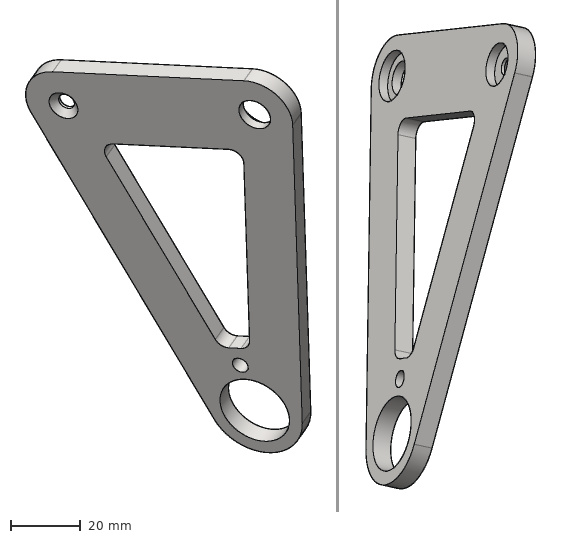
import cadquery as cq
import math

thickness = 6.0
pivot_radius = 15.0
ear_radius = 12.0
ear_offset = 60.5
upper_ear_height = 111.0
left_ear_height = 93.0

pivot_bore = 22.0
upper_hole = 10.0
screw_hole = 5.0
countersink_diameter = 9.1
countersink_angle = 90
left_counterbore = 12.7
upper_counterbore = 15.0
counterbore_depth = 2.9
small_hole_x = -4.5
small_hole_z = 15.3

side_rail = 16.0
top_rail = 25.0
window_depth = 71.3
window_corner_radius = 3.7

pivot = (0, 0)
left_ear = (-ear_offset, left_ear_height)
upper_ear = (0, upper_ear_height)


def move(point, direction, distance):
    """Point moved along a unit direction."""
    return (point[0] + distance * direction[0], point[1] + distance * direction[1])


def outward_normal(start, start_radius, end, end_radius):
    """Unit normal of the line touching both circles on the left of start-to-end."""
    dx = end[0] - start[0]
    dz = end[1] - start[1]
    angle = math.atan2(dz, dx) + math.acos((start_radius - end_radius) / math.hypot(dx, dz))
    return (math.cos(angle), math.sin(angle))


def inset_line(normal, center, radius, inset):
    """Line parallel to an outer edge, as its normal and distance from the origin."""
    edge_distance = normal[0] * center[0] + normal[1] * center[1] + radius
    return (normal, edge_distance - inset)


def intersection(first, second):
    """Point where two lines meet."""
    (ax, az), a = first
    (bx, bz), b = second
    determinant = ax * bz - az * bx
    return ((a * bz - b * az) / determinant, (ax * b - bx * a) / determinant)


def through_cut(point, diameter):
    """Cylinder crossing the plate thickness."""
    return front_plane.center(*point).circle(diameter / 2).extrude(-thickness)


front_plane = cq.Workplane("XZ")

left_normal = outward_normal(pivot, pivot_radius, left_ear, ear_radius)
top_normal = outward_normal(left_ear, ear_radius, upper_ear, ear_radius)
right_normal = outward_normal(upper_ear, ear_radius, pivot, pivot_radius)

plate = (
    front_plane.moveTo(*move(pivot, left_normal, pivot_radius))
    .lineTo(*move(left_ear, left_normal, ear_radius))
    .radiusArc(move(left_ear, top_normal, ear_radius), ear_radius)
    .lineTo(*move(upper_ear, top_normal, ear_radius))
    .radiusArc(move(upper_ear, right_normal, ear_radius), ear_radius)
    .lineTo(*move(pivot, right_normal, pivot_radius))
    .threePointArc((0, -pivot_radius), move(pivot, left_normal, pivot_radius))
    .close()
    .extrude(-thickness)
)

window_left = inset_line(left_normal, pivot, pivot_radius, side_rail)
window_top = inset_line(top_normal, upper_ear, ear_radius, top_rail)
window_right = inset_line(right_normal, pivot, pivot_radius, side_rail)
window_bottom = inset_line(top_normal, upper_ear, ear_radius, top_rail + window_depth)
window_corners = [
    intersection(window_left, window_top),
    intersection(window_top, window_right),
    intersection(window_right, window_bottom),
    intersection(window_bottom, window_left),
]
window = (
    front_plane.polyline(window_corners)
    .close()
    .extrude(-thickness)
    .edges("|Y")
    .fillet(window_corner_radius)
)
result = plate.cut(window)

plain_holes = [
    (pivot, pivot_bore),
    (upper_ear, upper_hole),
    ((small_hole_x, small_hole_z), screw_hole),
]
for center, diameter in plain_holes:
    result = result.cut(through_cut(center, diameter))

result = (
    result.faces("<Y")
    .workplane(origin=(left_ear[0], 0, left_ear[1]))
    .cskHole(screw_hole, countersink_diameter, countersink_angle)
)

counterbores = [
    (left_ear, left_counterbore),
    (upper_ear, upper_counterbore),
]
for center, diameter in counterbores:
    pocket = (
        front_plane.workplane(offset=-thickness)
        .center(*center)
        .circle(diameter / 2)
        .extrude(counterbore_depth)
    )
    result = result.cut(pocket)